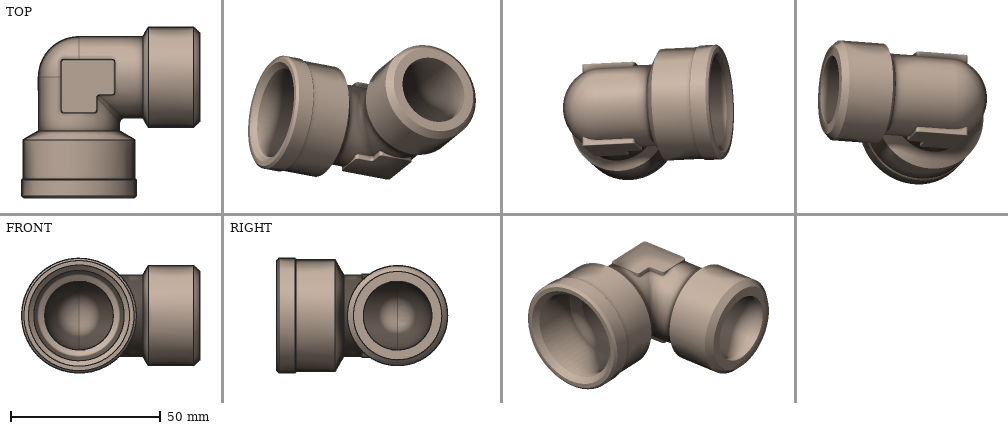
import cadquery as cq
import math

port_reach = 40.5
body_radius = 27.3 / 2
bore_radius = 23 / 2
cone_slope = math.tan(math.radians(30))

socket_radius = 37.5 / 2
socket_start = 18.0
ring_radius = 38.5 / 2
ring_width = 6.4
ring_chamfer = 0.8
ring_back_chamfer = 0.3
thread_radius = 30.29 / 2
mouth_radius = 33.9 / 2
thread_depth = 18.0

spigot_radius = 33.6 / 2
spigot_start = 21.4
spigot_chamfer_length = 2.1
spigot_face_radius = 29.6 / 2

pad_back = 6.0
pad_front = 12.0
pad_notch = 6.0
pad_height = 14.0
pad_corner_radius = 1.0
pad_edge_radius = 0.2
crotch_radius = 1.5


def revolve_along_y(profile):
    """Revolve (radius, distance from origin) points about Y, pointing to -Y."""
    points = [(radius, -distance) for radius, distance in profile]
    return cq.Workplane("XY").polyline(points).close().revolve(360, (0, 0), (0, 1))


def revolve_along_x(profile):
    """Revolve (radius, distance from origin) points about X, pointing to +X."""
    points = [(distance, radius) for radius, distance in profile]
    return cq.Workplane("XY").polyline(points).close().revolve(360, (0, 0), (1, 0))


def make_elbow(radius, y_length, x_length):
    """Two round legs of the same radius, along -Y and +X, joined by a ball at the corner."""
    y_leg = revolve_along_y([(0, 0), (radius, 0), (radius, y_length), (0, y_length)])
    x_leg = revolve_along_x([(0, 0), (radius, 0), (radius, x_length), (0, x_length)])
    return cq.Workplane("XY").sphere(radius).union(y_leg).union(x_leg)


def make_pads():
    """One L-shaped block through the corner; its two ends are the pads."""
    outline = [
        (-pad_back, pad_back),
        (pad_front, pad_back),
        (pad_front, -pad_notch),
        (pad_notch, -pad_notch),
        (pad_notch, -pad_front),
        (-pad_back, -pad_front),
    ]
    block = cq.Workplane("XY").polyline(outline).close().extrude(pad_height, both=True)
    block = block.edges("|Z").fillet(pad_corner_radius)
    return block.faces("<Z or >Z").edges().fillet(pad_edge_radius)


def make_socket():
    shoulder_end = socket_start + (socket_radius - body_radius) * cone_slope
    ring_start = port_reach - ring_width
    return revolve_along_y([
        (0, socket_start),
        (body_radius, socket_start),
        (socket_radius, shoulder_end),
        (socket_radius, ring_start),
        (ring_radius - ring_back_chamfer, ring_start),
        (ring_radius, ring_start + ring_back_chamfer),
        (ring_radius, port_reach - ring_chamfer),
        (ring_radius - ring_chamfer, port_reach),
        (0, port_reach),
    ])


def make_spigot():
    shoulder_end = spigot_start + (spigot_radius - body_radius) * cone_slope
    return revolve_along_x([
        (0, spigot_start),
        (body_radius, spigot_start),
        (spigot_radius, shoulder_end),
        (spigot_radius, port_reach - spigot_chamfer_length),
        (spigot_face_radius, port_reach),
        (0, port_reach),
    ])


def make_thread_bore():
    """Bore of the -Y port: mouth chamfer, thread bore and a cone down to the passage."""
    thread_end = port_reach - thread_depth
    cone_end = thread_end - (thread_radius - bore_radius) * cone_slope
    mouth_end = port_reach - (mouth_radius - thread_radius)
    return revolve_along_y([
        (0, cone_end),
        (bore_radius, cone_end),
        (thread_radius, thread_end),
        (thread_radius, mouth_end),
        (mouth_radius, port_reach),
        (0, port_reach),
    ])


crotch_box = cq.selectors.BoxSelector(
    (pad_notch + pad_corner_radius, -body_radius, -body_radius),
    (body_radius, -pad_notch - pad_corner_radius, body_radius),
)
elbow = make_elbow(body_radius, socket_start, spigot_start).union(make_pads())
elbow = elbow.edges(crotch_box).edges("%ELLIPSE").fillet(crotch_radius)

result = elbow.union(make_socket()).union(make_spigot())
result = result.cut(make_elbow(bore_radius, port_reach, port_reach)).cut(make_thread_bore())